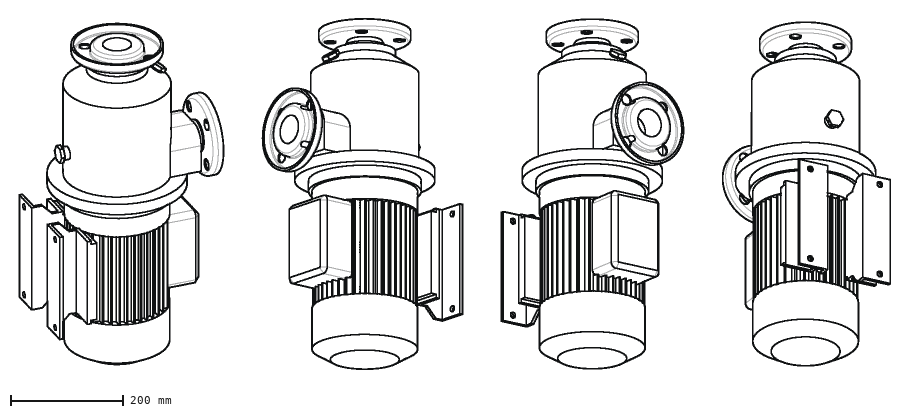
import cadquery as cq
import math

Z_COWL_EDGE = 19.5
Z_COWL_TOP = 95.5
Z_FIN_TOP = 271.5
Z_RING_BOTTOM = 312.0
Z_SPLIT = 332.0
Z_BASE_TOP = 352.5
Z_SHELL_TOP = 530.5
Z_COLLAR_BOTTOM = 559.0
Z_COLLAR_TOP = 572.5
Z_TOP = 609.0

COWL_END_RADIUS = 61.5
MOTOR_RADIUS = 94.5
RING_RADIUS = 100.5
CORE_RADIUS = 82.0
FIN_RADIUS = 93.0
FIN_THICKNESS = 2.5
FIN_COUNT = 10
OUTERMOST_FIN = 58.5
FIN_PITCH = 2 * OUTERMOST_FIN / (FIN_COUNT - 1)
FIN_FRONT_LIMIT = 88.5

BOX_HALF_WIDTH = 52.5
BOX_BACK = 139.5
BOX_FRONT = 73.0
BOX_BOTTOM = 126.5
BOX_EDGE_FILLET = 10.5
BOX_COVER_CHAMFER = 9.0

FOOT_MID_Z = 193.5
FOOT_OUTER_X = 91.5
FOOT_INNER_X = 35.5
FOOT_SHEET = 6.0
FOOT_BOTTOM_Y = -150.5
FOOT_HEIGHT = 204.0
WEB_SLOPE_END_Y = -130.0
WEB_SLOPE_START_Y = -110.0
MOUNT_OUTER_Y = -97.0
MOUNT_THICKNESS = 7.5
MOUNT_HEIGHT = 165.0
PAD_INNER_Y = -78.5
PAD_HEIGHT = 152.0
FOOT_HOLE_X = 70.0
FOOT_HOLE_SPACING = 176.0
FOOT_HOLE_DIAMETER = 10.5

BASE_RADIUS = 250.0 / 2
SHELL_RADIUS = 193.0 / 2
COLLAR_RADIUS = 55.0
NECK_RADIUS = 36.0
NECK_TOP_RADIUS = 31.0
Z_NECK_SHOULDER = 581.5

FLANGE_THICKNESS = 18.0
RIM_WIDTH = 4.0
RECESS_DEPTH = 15.0
BOSS_RADIUS = 48.0
BOSS_FILLET = 5.5
FLOOR_FILLET = 2.0
BORE_RADIUS = 25.5
BORE_DEPTH = 49.0
BOLT_HOLE_RADIUS = 20.0 / 2
TOP_FLANGE_RADIUS = 82.0
TOP_BOLT_CIRCLE_RADIUS = 62.0
TOP_RIM_FILLET = 5.5
SIDE_FLANGE_RADIUS = 75.0
SIDE_BOLT_CIRCLE_RADIUS = 56.0
SIDE_RIM_FILLET = 7.5

OUTLET_FACE_Y = 175.0
OUTLET_Z = 395.0
OUTLET_NECK_RADIUS = 30.5
OUTLET_NECK_TAPER_LENGTH = 3.0
OUTLET_NECK_TAPER_DEPTH = 1.5
OUTLET_BLOCK_END_Y = 139.5
OUTLET_BLOCK_HALF_WIDTH = 55.0
OUTLET_BLOCK_TOP = 435.0
OUTLET_BLOCK_FILLET = 30.5

PLUG_FLATS = 28.0
PLUG_HEAD = 7.5
PLUG_NECK_RADIUS = 12.0
DRAIN_Z = 411.5
DRAIN_END_Y = -114.5
VENT_RADIUS = 75.5
VENT_STANDOFF = 2.0


def disc(radius, z_bottom, z_top):
    return cq.Workplane("XY").workplane(offset=z_bottom).circle(radius).extrude(z_top - z_bottom)


def block(x_range, y_range, z_range):
    sizes = [end - start for start, end in (x_range, y_range, z_range)]
    return cq.Workplane("XY").box(*sizes, centered=False).translate((x_range[0], y_range[0], z_range[0]))


def centred_z(height):
    return (FOOT_MID_Z - height / 2, FOOT_MID_Z + height / 2)


def motor_barrel():
    outline = [
        (0, 0),
        (COWL_END_RADIUS, 0),
        (MOTOR_RADIUS, Z_COWL_EDGE),
        (MOTOR_RADIUS, Z_COWL_TOP),
        (CORE_RADIUS, Z_COWL_TOP),
        (CORE_RADIUS, Z_FIN_TOP),
        (MOTOR_RADIUS, Z_FIN_TOP),
        (MOTOR_RADIUS, Z_RING_BOTTOM),
        (RING_RADIUS, Z_RING_BOTTOM),
        (RING_RADIUS, Z_SPLIT),
        (0, Z_SPLIT),
    ]
    return cq.Workplane("XZ").polyline(outline).close().revolve(360, (0, 0), (0, 1))


def cooling_fins():
    """Thin straight plates running along X and along Y, trimmed to a cylinder."""
    z_range = (Z_COWL_TOP, Z_FIN_TOP)
    reach = (-FIN_RADIUS, FIN_RADIUS)
    plates = cq.Workplane("XY")
    for index in range(FIN_COUNT):
        middle = index * FIN_PITCH - OUTERMOST_FIN
        thickness = (middle - FIN_THICKNESS / 2, middle + FIN_THICKNESS / 2)
        plates = plates.add(block(reach, thickness, z_range))
        plates = plates.add(block(thickness, (-FIN_FRONT_LIMIT, FIN_RADIUS), z_range))
    return plates.combine().intersect(disc(FIN_RADIUS, *z_range))


def terminal_box():
    box = block((-BOX_HALF_WIDTH, BOX_HALF_WIDTH), (BOX_FRONT, BOX_BACK), (BOX_BOTTOM, Z_FIN_TOP))
    box = box.edges("|Y").fillet(BOX_EDGE_FILLET)
    return box.faces(">Y").chamfer(BOX_COVER_CHAMFER)


def foot():
    """Z-shaped sheet bracket with its mounting pad, on the +X side."""
    x_range = (FOOT_INNER_X, FOOT_OUTER_X)
    mount_inner_y = MOUNT_OUTER_Y + MOUNT_THICKNESS
    pad = block(x_range, (mount_inner_y, PAD_INNER_Y), centred_z(PAD_HEIGHT))
    mount = block(x_range, (MOUNT_OUTER_Y, mount_inner_y), centred_z(MOUNT_HEIGHT))
    sole = block(x_range, (FOOT_BOTTOM_Y, FOOT_BOTTOM_Y + FOOT_SHEET), centred_z(FOOT_HEIGHT))

    mount_low, mount_high = centred_z(MOUNT_HEIGHT)
    sole_low, sole_high = centred_z(FOOT_HEIGHT)
    web = (
        cq.Workplane("YZ", origin=(FOOT_INNER_X, 0, 0))
        .polyline([
            (MOUNT_OUTER_Y, mount_low),
            (WEB_SLOPE_START_Y, mount_low),
            (WEB_SLOPE_END_Y, sole_low),
            (FOOT_BOTTOM_Y, sole_low),
            (FOOT_BOTTOM_Y, sole_high),
            (WEB_SLOPE_END_Y, sole_high),
            (WEB_SLOPE_START_Y, mount_high),
            (MOUNT_OUTER_Y, mount_high),
        ])
        .close()
        .extrude(FOOT_SHEET)
    )
    holes = (
        cq.Workplane("XZ", origin=(FOOT_HOLE_X, FOOT_BOTTOM_Y + FOOT_SHEET, FOOT_MID_Z))
        .rarray(6, FOOT_HOLE_SPACING, 1, 2)
        .circle(FOOT_HOLE_DIAMETER / 2)
        .extrude(FOOT_SHEET)
    )
    return pad.union(mount).union(web).union(sole.cut(holes))


def make_motor():
    right_foot = foot()
    motor = motor_barrel().union(cooling_fins()).union(terminal_box())
    return motor.union(right_foot).union(right_foot.mirror("YZ"))


def pipe_flange(radius, bolt_circle_radius, rim_fillet):
    """Dished flange with a raised boss, its face at Z = 0 and its back below."""
    flange = disc(radius, -FLANGE_THICKNESS, 0).faces("<Z").edges().fillet(rim_fillet)
    boss = disc(BOSS_RADIUS, -RECESS_DEPTH, 0).faces(">Z").edges().fillet(BOSS_FILLET)
    recess = disc(radius - RIM_WIDTH, -RECESS_DEPTH, 0).cut(boss)
    recess = recess.faces("<Z").edges().fillet(FLOOR_FILLET)
    flange = flange.cut(recess)
    bolt_holes = (
        cq.Workplane("XY")
        .polarArray(bolt_circle_radius, 45, 360, 4)
        .circle(BOLT_HOLE_RADIUS)
        .extrude(-FLANGE_THICKNESS)
    )
    return flange.cut(bolt_holes)


def bore():
    return disc(BORE_RADIUS, -BORE_DEPTH, 0)


def place_inlet(shape):
    return shape.translate((0, 0, Z_TOP))


def place_outlet(shape):
    return shape.rotate((0, 0, 0), (1, 0, 0), -90).translate((0, OUTLET_FACE_Y, OUTLET_Z))


def pump_casing():
    outline = [
        (0, Z_SPLIT),
        (BASE_RADIUS, Z_SPLIT),
        (BASE_RADIUS, Z_BASE_TOP),
        (SHELL_RADIUS, Z_BASE_TOP),
        (SHELL_RADIUS, Z_SHELL_TOP),
        (COLLAR_RADIUS, Z_COLLAR_BOTTOM),
        (COLLAR_RADIUS, Z_COLLAR_TOP),
        (NECK_RADIUS, Z_COLLAR_TOP),
        (NECK_RADIUS, Z_NECK_SHOULDER),
        (NECK_TOP_RADIUS, Z_TOP - FLANGE_THICKNESS),
        (0, Z_TOP - FLANGE_THICKNESS),
    ]
    return cq.Workplane("XZ").polyline(outline).close().revolve(360, (0, 0), (0, 1))


def outlet_body():
    body = block(
        (-OUTLET_BLOCK_HALF_WIDTH, OUTLET_BLOCK_HALF_WIDTH),
        (0, OUTLET_BLOCK_END_Y),
        (Z_BASE_TOP, OUTLET_BLOCK_TOP),
    )
    body = body.edges("|Y and >Z").fillet(OUTLET_BLOCK_FILLET)
    neck = disc(OUTLET_NECK_RADIUS, OUTLET_BLOCK_END_Y - OUTLET_FACE_Y, -FLANGE_THICKNESS)
    neck = neck.faces(">Z").chamfer(OUTLET_NECK_TAPER_LENGTH, OUTLET_NECK_TAPER_DEPTH)
    return body.union(place_outlet(neck))


def plug(plane, neck_length):
    """Hexagon head whose neck starts at the plane origin and runs along its normal."""
    neck = cq.Workplane(plane).circle(PLUG_NECK_RADIUS).extrude(neck_length)
    across_corners = PLUG_FLATS / math.cos(math.pi / 6)
    head = cq.Workplane(plane).workplane(offset=neck_length).polygon(6, across_corners).extrude(PLUG_HEAD)
    return neck.union(head)


def drain_plug():
    plane = cq.Plane(origin=(0, -CORE_RADIUS, DRAIN_Z), xDir=(1, 0, 0), normal=(0, -1, 0))
    return plug(plane, -DRAIN_END_Y - PLUG_HEAD - CORE_RADIUS)


def vent_plug():
    run = SHELL_RADIUS - COLLAR_RADIUS
    rise = Z_COLLAR_BOTTOM - Z_SHELL_TOP
    slope_length = math.hypot(run, rise)
    normal = (0, rise / slope_length, run / slope_length)
    cone_z = Z_SHELL_TOP + (SHELL_RADIUS - VENT_RADIUS) * rise / run
    depth = PLUG_NECK_RADIUS
    start = (0, VENT_RADIUS - depth * normal[1], cone_z - depth * normal[2])
    return plug(cq.Plane(origin=start, xDir=(1, 0, 0), normal=normal), depth + VENT_STANDOFF)


def make_pump():
    inlet_flange = place_inlet(pipe_flange(TOP_FLANGE_RADIUS, TOP_BOLT_CIRCLE_RADIUS, TOP_RIM_FILLET))
    outlet_flange = place_outlet(pipe_flange(SIDE_FLANGE_RADIUS, SIDE_BOLT_CIRCLE_RADIUS, SIDE_RIM_FILLET))
    pump = pump_casing().union(outlet_body()).union(inlet_flange).union(outlet_flange)
    pump = pump.cut(place_inlet(bore())).cut(place_outlet(bore()))
    return pump.union(drain_plug()).union(vent_plug())


motor = make_motor()
pump = make_pump()
result = cq.Compound.makeCompound([motor.val(), pump.val()])